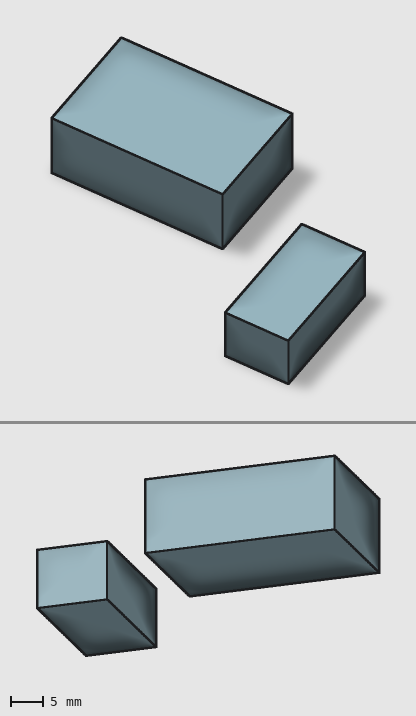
import cadquery as cq

total_length = 55.63
total_depth = 40.2

large_length = 31.44
large_depth = 20.66
large_height = 12.28

small_length = 11.62
small_depth = 22.7
small_height = 9.72


def corner_block(length, depth, height, x_min, y_min):
    """Rectangular block standing on Z = 0 with its low corner at (x_min, y_min)."""
    return (
        cq.Workplane("XY")
        .box(length, depth, height, centered=False)
        .translate((x_min, y_min, 0))
    )


large_block = corner_block(large_length, large_depth, large_height, 0, total_depth - large_depth)

small_block = corner_block(small_length, small_depth, small_height, total_length - small_length, 0)

result = cq.Compound.makeCompound([large_block.val(), small_block.val()])